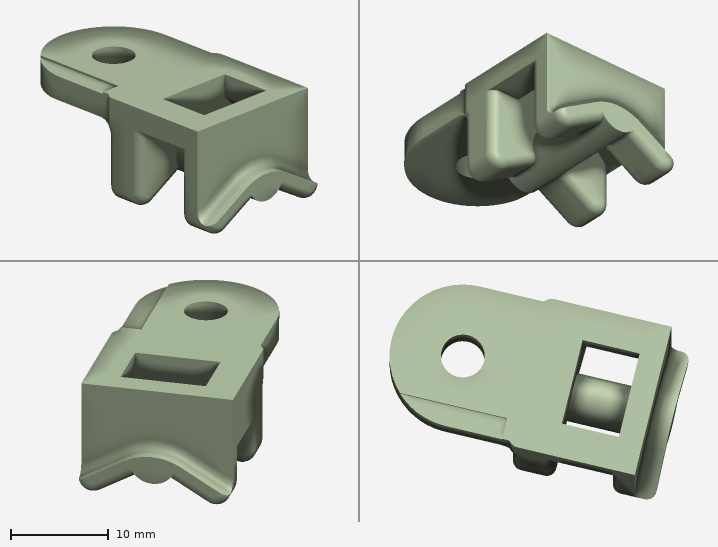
import cadquery as cq
import math


length = 29.5
width = 16.0
height = 11.4

tongue_width = 15.0
tongue_radius = tongue_width / 2
tongue_thickness = 3.0
tongue_hole_diameter = 4.48
underside_radius = 1.5

step_start = 14.0
step_inner_radius = 0.5
step_outer_radius = 1.0

leg_thickness = 4.5
leg_gap = 6.0
bridge_thickness = 2.5
leg_edge_radius = 1.0
foot_radius = 1.5
notch_slope = math.radians(30)

rear_leg_start = length - leg_thickness
front_leg_end = rear_leg_start - leg_gap
front_leg_start = front_leg_end - leg_thickness

window_width = 9.0
bar_diameter = 5.02
bar_depth = 7.0

lip_length = 2.0
lip_top_depth = 6.5
lip_crest_radius = 6.0
lip_root_radius = 1.0

label_end = 13.42
label_width = 2.2
label_depth = 0.25


def side_profile():
    """Tongue, bridge and both legs in the XZ plane, swept across the full width."""
    fillet_start = front_leg_start - underside_radius
    fillet_end_depth = tongue_thickness + underside_radius
    fillet_middle = (
        fillet_start + underside_radius * math.sin(math.pi / 4),
        -fillet_end_depth + underside_radius * math.cos(math.pi / 4),
    )
    return (
        cq.Workplane("XZ")
        .lineTo(0, -tongue_thickness)
        .lineTo(fillet_start, -tongue_thickness)
        .threePointArc(fillet_middle, (front_leg_start, -fillet_end_depth))
        .lineTo(front_leg_start, -height)
        .lineTo(front_leg_end, -height)
        .lineTo(front_leg_end, -bridge_thickness)
        .lineTo(rear_leg_start, -bridge_thickness)
        .lineTo(rear_leg_start, -height)
        .lineTo(length, -height)
        .lineTo(length, 0)
        .close()
        .extrude(width / 2, both=True)
    )


def end_profile():
    """Leg outline in the YZ plane: two rounded feet with a V notch between them."""
    foot_y = width / 2 - foot_radius
    foot_z = foot_radius - height
    tangent_y = foot_y - foot_radius * math.sin(notch_slope)
    tangent_z = foot_z - foot_radius * math.cos(notch_slope)
    apex_z = tangent_z + tangent_y * math.tan(notch_slope)
    arc_middle_y = foot_radius * math.sin(math.pi / 4)
    arc_middle_z = foot_z - foot_radius * math.cos(math.pi / 4)
    return (
        cq.Workplane("YZ")
        .moveTo(-width / 2, 0)
        .lineTo(-width / 2, foot_z)
        .threePointArc((-foot_y - arc_middle_y, arc_middle_z), (-tangent_y, tangent_z))
        .lineTo(0, apex_z)
        .lineTo(tangent_y, tangent_z)
        .threePointArc((foot_y + arc_middle_y, arc_middle_z), (width / 2, foot_z))
        .lineTo(width / 2, 0)
        .close()
        .extrude(length)
    )


def plan_profile():
    """Plan outline: round tongue, then an S-shaped step out to the block."""
    centre_rise = tongue_radius + step_inner_radius - (width / 2 - step_outer_radius)
    centre_distance = step_inner_radius + step_outer_radius
    step_run = math.sqrt(centre_distance**2 - centre_rise**2)
    step_end = step_start + step_run
    join_x = step_start + step_run * step_inner_radius / centre_distance
    join_y = tongue_radius + step_inner_radius - centre_rise * step_inner_radius / centre_distance
    return (
        cq.Workplane("XY")
        .moveTo(tongue_radius, tongue_radius)
        .threePointArc((0, 0), (tongue_radius, -tongue_radius))
        .lineTo(step_start, -tongue_radius)
        .tangentArcPoint((join_x, -join_y), relative=False)
        .tangentArcPoint((step_end, -width / 2), relative=False)
        .lineTo(length, -width / 2)
        .lineTo(length, width / 2)
        .lineTo(step_end, width / 2)
        .tangentArcPoint((join_x, join_y), relative=False)
        .tangentArcPoint((step_start, tongue_radius), relative=False)
        .close()
        .extrude(-height)
    )


def round_leg_faces(body):
    """Round the sides and bottom of every leg face, leaving its top edge sharp."""
    leg_faces = (front_leg_start, front_leg_end, rear_leg_start, length)
    tolerance = 0.003
    edges = []
    for edge in body.edges().vals():
        bounds = edge.BoundingBox()
        on_leg_face = any(
            abs(bounds.xmin - x) < tolerance and abs(bounds.xmax - x) < tolerance for x in leg_faces
        )
        is_top_edge = bounds.zmin > -bridge_thickness - tolerance and bounds.ylen > tolerance
        is_fillet_line = abs(bounds.ylen - width) < tolerance
        if on_leg_face and not is_top_edge and not is_fillet_line:
            edges.append(edge)
    return body.newObject(edges).fillet(leg_edge_radius)


def lip_cutter():
    """Space above the lip: a roof with a rounded crest and a rounded root at the block."""
    crest_z = -lip_top_depth
    tangent_y = lip_crest_radius * math.sin(notch_slope)
    tangent_z = crest_z - lip_crest_radius * (1 - math.cos(notch_slope))
    eave_y = width
    eave_z = tangent_z - (eave_y - tangent_y) * math.tan(notch_slope)
    return (
        cq.Workplane("YZ", origin=(length - lip_length, 0, 0))
        .moveTo(-eave_y, height)
        .lineTo(-eave_y, eave_z)
        .lineTo(-tangent_y, tangent_z)
        .threePointArc((0, crest_z), (tangent_y, tangent_z))
        .lineTo(eave_y, eave_z)
        .lineTo(eave_y, height)
        .close()
        .extrude(2 * lip_length)
        .faces("<X")
        .edges("not(|Z or >Z)")
        .fillet(lip_root_radius)
    )


def ramp():
    """Wedge between the legs, falling at 45 degrees from the window to the +Y side."""
    ramp_start = window_width / 2
    ramp_drop = width / 2 - ramp_start
    return (
        cq.Workplane("YZ", origin=(front_leg_end - leg_edge_radius, 0, 0))
        .moveTo(ramp_start, 0)
        .lineTo(ramp_start, -bridge_thickness)
        .lineTo(width / 2, -bridge_thickness - ramp_drop)
        .lineTo(width / 2, 0)
        .close()
        .extrude(leg_gap + 2 * leg_edge_radius)
    )


def top_box(x_start, x_end, y_start, y_end, depth):
    """Box from the flat top down to the given depth."""
    return (
        cq.Workplane("XY")
        .moveTo(x_start, y_start)
        .lineTo(x_end, y_start)
        .lineTo(x_end, y_end)
        .lineTo(x_start, y_end)
        .close()
        .extrude(-depth)
    )


legs_and_tongue = round_leg_faces(side_profile().intersect(end_profile()))
body = legs_and_tongue.intersect(plan_profile())

window = top_box(front_leg_end, rear_leg_start, -window_width / 2, window_width / 2, bridge_thickness)
tongue_hole = (
    cq.Workplane("XY")
    .center(tongue_radius, 0)
    .circle(tongue_hole_diameter / 2)
    .extrude(-tongue_thickness)
)
label = top_box(0, label_end, -tongue_radius, label_width - tongue_radius, label_depth)

bar = (
    cq.Workplane("YZ", origin=(front_leg_start, 0, -bar_depth))
    .circle(bar_diameter / 2)
    .extrude(length - front_leg_start)
)

result = body.union(ramp()).cut(window).cut(tongue_hole).cut(label).union(bar).cut(lip_cutter())